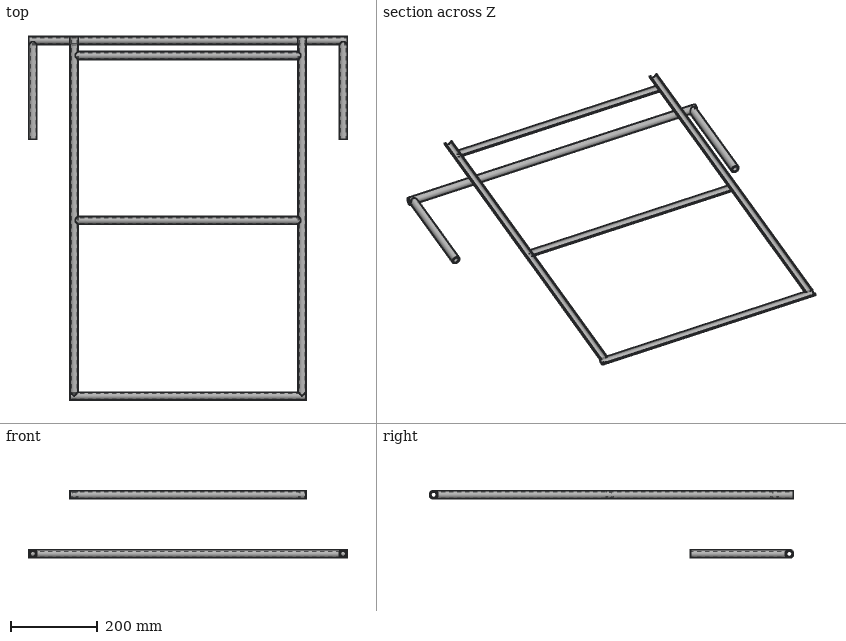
import cadquery as cq

TUBE_DIAMETER = 19.05
BORE_DIAMETER = 12.95
TUBE_RADIUS = TUBE_DIAMETER / 2

FRAME_WIDTH = 736.6
FRAME_DEPTH = 841.38
FRAME_HEIGHT = 155.57

COPE_TIP_GAP = 3.175

UPPER_WIDTH = 546.1
REAR_CROSSBAR_SETBACK = 44.45
MIDDLE_CROSSBAR_SETBACK = 425.45

ARM_REACH = 238.125

LOWER_Z = 0
UPPER_Z = FRAME_HEIGHT - TUBE_DIAMETER
FRONT_TUBE_Y = TUBE_RADIUS - FRAME_DEPTH
LOWER_TUBE_Y = -TUBE_RADIUS
RAIL_X = UPPER_WIDTH / 2 - TUBE_RADIUS
ARM_X = FRAME_WIDTH / 2 - TUBE_RADIUS


def tube_along_x(length, y, z):
    """Straight tube parallel to X, centred on X = 0."""
    plane = cq.Workplane("YZ", origin=(-length / 2, y, z))
    return plane.circle(TUBE_RADIUS).circle(BORE_DIAMETER / 2).extrude(length)


def tube_along_y(x, z, front_y, rear_y):
    """Straight tube parallel to Y between two Y positions."""
    plane = cq.Workplane("XZ", origin=(x, rear_y, z))
    return plane.circle(TUBE_RADIUS).circle(BORE_DIAMETER / 2).extrude(rear_y - front_y)


def rod_along_x(length, y, z):
    """Solid cutter with the outside diameter of a tube, parallel to X and centred on X = 0."""
    return cq.Workplane("YZ", origin=(-length / 2, y, z)).circle(TUBE_RADIUS).extrude(length)


def rod_along_y(x, z):
    """Solid cutter with the outside diameter of a rail, running the frame depth."""
    return cq.Workplane("XZ", origin=(x, 0, z)).circle(TUBE_RADIUS).extrude(FRAME_DEPTH)


def largest_piece(shape):
    """Keep the main length of a coped tube and drop the offcuts beyond the joint."""
    return max(shape.solids().vals(), key=lambda solid: solid.Volume())


def side_rail(x):
    """Long upper rail, coped onto the front tube."""
    blank = tube_along_y(x, UPPER_Z, FRONT_TUBE_Y, 0)
    return largest_piece(blank.cut(rod_along_x(FRAME_WIDTH, FRONT_TUBE_Y, UPPER_Z)))


def crossbar(y):
    """Upper cross tube, coped onto the rail at both ends."""
    bar = tube_along_x(2 * (RAIL_X - COPE_TIP_GAP), y, UPPER_Z)
    for x in (-RAIL_X, RAIL_X):
        bar = bar.cut(rod_along_y(x, UPPER_Z))
    return largest_piece(bar)


def arm(x):
    """Lower arm, coped onto the lower cross tube."""
    blank = tube_along_y(x, LOWER_Z, -ARM_REACH, LOWER_TUBE_Y - COPE_TIP_GAP)
    return largest_piece(blank.cut(rod_along_x(FRAME_WIDTH, LOWER_TUBE_Y, LOWER_Z)))


front_tube = tube_along_x(UPPER_WIDTH, FRONT_TUBE_Y, UPPER_Z).val()
lower_tube = tube_along_x(FRAME_WIDTH, LOWER_TUBE_Y, LOWER_Z).val()
side_rails = [side_rail(x) for x in (-RAIL_X, RAIL_X)]
crossbars = [crossbar(-setback) for setback in (REAR_CROSSBAR_SETBACK, MIDDLE_CROSSBAR_SETBACK)]
arms = [arm(x) for x in (-ARM_X, ARM_X)]

result = cq.Compound.makeCompound([front_tube, lower_tube, *side_rails, *crossbars, *arms])